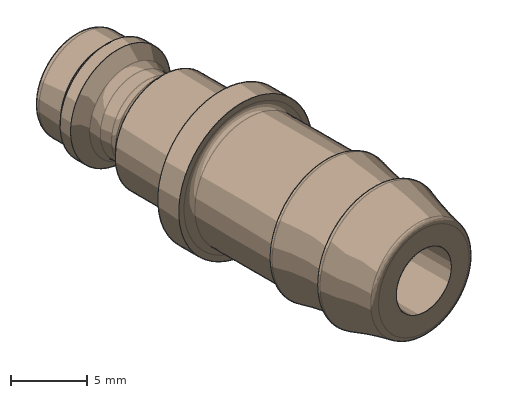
import cadquery as cq
import math

length = 33.0
bore_radius = 4.95 / 2

nose_radius = 8.1 / 2
nose_rounding = 0.6
plug_radius = 9.0 / 2
neck_radius = 6.65 / 2
neck_rounding = 1.0
collar_start = 2.65
groove_start = 4.1
groove_end = 8.35

flange_radius = 12.0 / 2
flange_start = 14.0
flange_width = 2.0
flange_fillet = 0.5

tube_radius = 10.05 / 2
barb_radius = 5.57
first_barb_start = 24.0
second_barb_start = 28.5
first_barb_end_radius = 4.8
hose_end_radius = 4.41
barb_flank_radius = 27.0
barb_rounding = 0.28
hose_end_rounding = 0.4

collar_chamfer_end = collar_start + plug_radius - nose_radius
groove_depth = plug_radius - neck_radius
neck_start = groove_start + groove_depth
neck_end = groove_end - groove_depth
flange_end = flange_start + flange_width


def add_barb(profile, start_x, end_x, end_radius):
    """Extend the profile by one barb: a step up at start_x, then a shallow concave flank to end_x."""
    dx = end_x - start_x
    dr = end_radius - barb_radius
    chord = math.hypot(dx, dr)
    sag = barb_flank_radius - math.sqrt(barb_flank_radius**2 - (chord / 2) ** 2)
    middle_x = (start_x + end_x) / 2 + sag * dr / chord
    middle_radius = (barb_radius + end_radius) / 2 - sag * dx / chord
    profile = profile.lineTo(start_x, barb_radius)
    return profile.threePointArc((middle_x, middle_radius), (end_x, end_radius))


def sharp_body():
    """Bored body of revolution with every edge still sharp."""
    profile = (
        cq.Workplane("XY")
        .moveTo(0, bore_radius)
        .lineTo(0, nose_radius)
        .lineTo(collar_start, nose_radius)
        .lineTo(collar_chamfer_end, plug_radius)
        .lineTo(groove_start, plug_radius)
        .lineTo(neck_start, neck_radius)
        .lineTo(neck_end, neck_radius)
        .lineTo(groove_end, plug_radius)
        .lineTo(flange_start, plug_radius)
        .lineTo(flange_start, flange_radius)
        .lineTo(flange_end, flange_radius)
        .lineTo(flange_end, tube_radius)
        .lineTo(first_barb_start, tube_radius)
    )
    profile = add_barb(profile, first_barb_start, second_barb_start, first_barb_end_radius)
    profile = add_barb(profile, second_barb_start, length, hose_end_radius)
    profile = profile.lineTo(length, bore_radius).close()
    return profile.revolve(360, (0, 0, 0), (1, 0, 0))


def round_edge(body, x, radius, rounding):
    """Round the circular edge of the given radius lying at the given x."""
    tolerance = 1e-3

    def matches(edge):
        at_x = abs(edge.arcCenter().x - x) < tolerance
        return at_x and abs(edge.radius() - radius) < tolerance

    return body.edges("%CIRCLE").filter(matches).fillet(rounding)


rounded_edges = [
    (0, nose_radius, nose_rounding),
    (neck_start, neck_radius, neck_rounding),
    (neck_end, neck_radius, neck_rounding),
    (flange_start, plug_radius, flange_fillet),
    (flange_end, tube_radius, flange_fillet),
    (first_barb_start, barb_radius, barb_rounding),
    (second_barb_start, barb_radius, barb_rounding),
    (length, hose_end_radius, hose_end_rounding),
]

result = sharp_body()
for edge_x, edge_radius, edge_rounding in rounded_edges:
    result = round_edge(result, edge_x, edge_radius, edge_rounding)